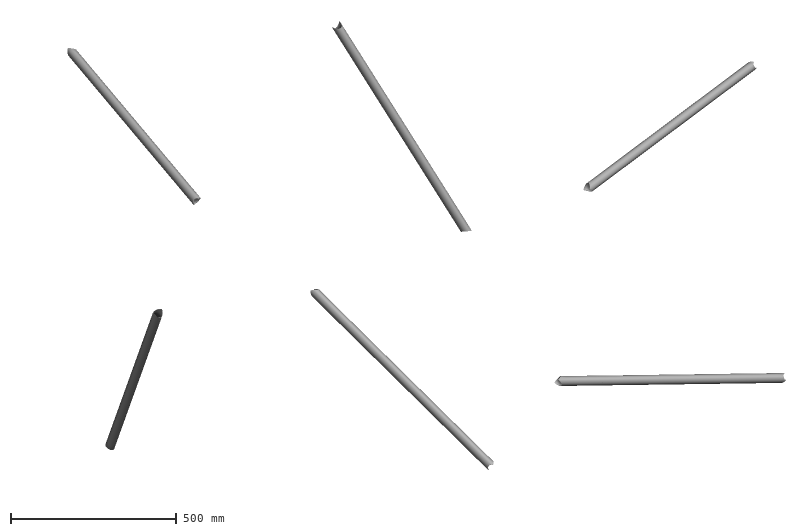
import cadquery as cq
import math

tube_diameter = 30.0
tube_radius = tube_diameter / 2
wall = 1.0
tip_length = 780.0
drop_angle = 13.0
swing_angle = -1.7

saddle_direction = 45
notch_direction = 135

slope_length = 17.5
tip_angle = 45
notch_depth = 9.0
notch_radius = 9.0

cutter_length = 3 * tube_diameter


def make_tube():
    overrun = tube_radius
    return (
        cq.Workplane("YZ")
        .circle(tube_radius)
        .circle(tube_radius - wall)
        .extrude(tip_length + overrun)
    )


def left_saddle():
    """Cylinder as wide as the tube, crossing its axis squarely at x = 0."""
    cylinder = cq.Workplane("XY").circle(tube_radius).extrude(cutter_length / 2, both=True)
    return cylinder.rotate((0, 0, 0), (1, 0, 0), saddle_direction - 90)


def right_cutter():
    """Space beyond the sloping face, joined with the round notch; +Z is the notched side."""
    tip_height = tube_radius * math.cos(math.radians(tip_angle))
    slope = slope_length / tube_diameter
    reach = cutter_length / 2
    beyond = (
        cq.Workplane("XZ")
        .polyline([
            (tip_length - slope * (reach + tip_height), -reach),
            (tip_length + slope * (reach - tip_height), reach),
            (tip_length + cutter_length, reach),
            (tip_length + cutter_length, -reach),
        ])
        .close()
        .extrude(reach, both=True)
    )
    notch = (
        cq.Workplane("XZ", origin=(tip_length - notch_depth + notch_radius, 0, tip_height + notch_radius))
        .circle(notch_radius)
        .extrude(reach, both=True)
    )
    return beyond.union(notch).rotate((0, 0, 0), (1, 0, 0), notch_direction - 90)


coped_tube = make_tube().cut(left_saddle()).cut(right_cutter())

result = (
    coped_tube
    .rotate((0, 0, 0), (0, 1, 0), drop_angle)
    .rotate((0, 0, 0), (0, 0, 1), swing_angle)
)